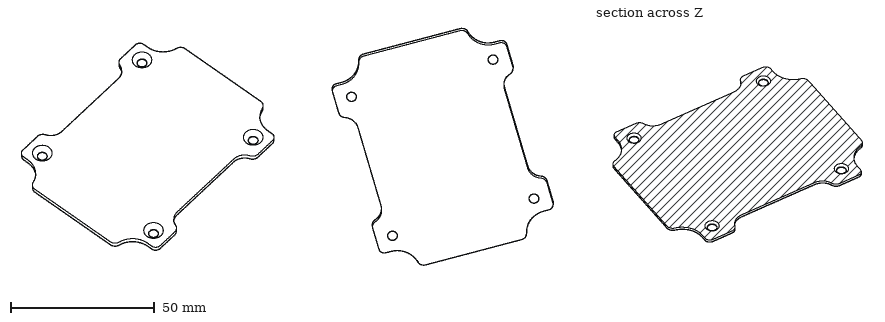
import cadquery as cq

length = 80.0
width = 63.0
thickness = 2.0
wall_draft_angle = 3.0

ear_end_y = 32.0
waist_width = 53.0
waist_depth = (width - waist_width) / 2
ear_corner_radius = 2.0
blend_radius = 2.4

corner_scoop_radius = 8.0
corner_scoop_inset = 4.0
waist_scoop_radius = waist_depth
waist_scoop_y = 15.0

hole_spacing_x = 51.0
hole_spacing_y = 53.0
hole_diameter = 3.4
countersink_diameter = 6.8
countersink_angle = 90.0

SIDES = [(sx, sy) for sx in (-1, 1) for sy in (-1, 1)]


def slab(size_x, size_y):
    return cq.Workplane("XY").rect(size_x, size_y).extrude(thickness)


def disc(radius, x, y):
    return cq.Workplane("XY").center(x, y).circle(radius).extrude(thickness)


def round_edges_near(body, x, y, radius):
    """Round the upright edges at (x, y) mirrored into all four quadrants."""
    for sx, sy in SIDES:
        point = (sx * x, sy * y, thickness / 2)
        body = body.edges(cq.selectors.NearestToPointSelector(point)).fillet(radius)
    return body


corner_scoop_x = width / 2 - corner_scoop_inset
plate = slab(width, length)
for sx, sy in SIDES:
    plate = plate.cut(disc(corner_scoop_radius, sx * corner_scoop_x, sy * length / 2))
    corner_block = slab(2 * corner_scoop_inset, 2 * (length / 2 - ear_end_y))
    plate = plate.cut(corner_block.translate((sx * width / 2, sy * length / 2, 0)))
    plate = plate.cut(disc(waist_scoop_radius, sx * width / 2, sy * waist_scoop_y))
for sx in (-1, 1):
    waist_block = slab(2 * waist_depth, 2 * waist_scoop_y)
    plate = plate.cut(waist_block.translate((sx * width / 2, 0, 0)))

plate = (
    plate.faces(">Z")
    .wires()
    .toPending()
    .workplane()
    .extrude(-thickness, taper=wall_draft_angle, combine=False)
)

plate = round_edges_near(plate, width / 2, ear_end_y, ear_corner_radius)
plate = round_edges_near(plate, corner_scoop_x - corner_scoop_radius, length / 2, blend_radius)
plate = round_edges_near(plate, width / 2, waist_scoop_y + waist_scoop_radius, blend_radius)

result = (
    plate.faces(">Z")
    .workplane(origin=(0, 0, thickness))
    .rect(hole_spacing_x, hole_spacing_y, forConstruction=True)
    .vertices()
    .cskHole(hole_diameter, countersink_diameter, countersink_angle)
)